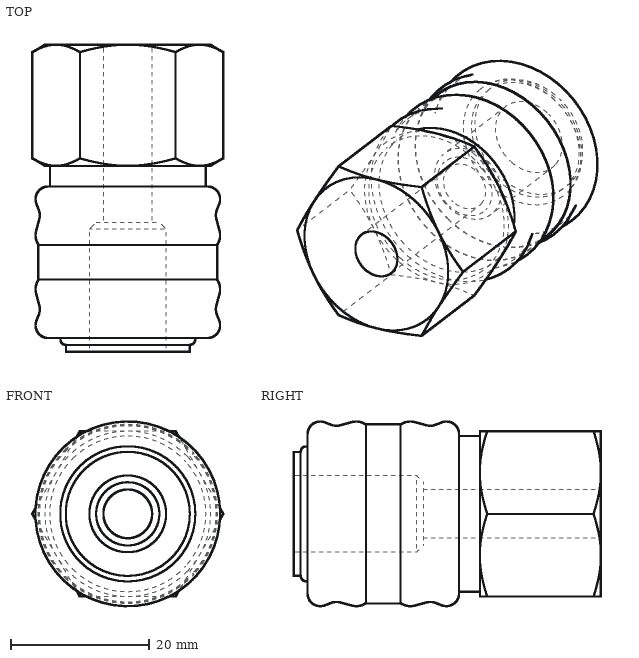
import cadquery as cq
import math

TOTAL_LENGTH = 44.5
COLLAR_START = 1.02
SLEEVE_START = 2.0
SLEEVE_END = 24.0
HEX_START = 26.95

NOSE_RADIUS = 9.0
COLLAR_RADIUS = 9.8
NECK_RADIUS = 11.3

SLEEVE_RADIUS = 13.4
WAIST_RADIUS = 13.0
VALLEY_RADIUS = 12.75
GRIP_LENGTH = 8.5
OUTER_BEAD_ROUND = 1.85
INNER_BEAD_ROUND = 2.4
VALLEY_ROUND = 2.0
VALLEY_OFFSET = 4.2
INNER_BEAD_OFFSET = 7.08

HEX_ACROSS_FLATS = 24.0
HEX_CHAMFER_ANGLE = 30.0

SOCKET_RADIUS = 5.55
SOCKET_DEPTH = 17.8
SEAT_RADIUS = 4.6
PASSAGE_RADIUS = 3.5


def cylinder(radius, start, end):
    """Cylinder along +Y between two axial positions."""
    return cq.Workplane("XZ", origin=(0, start, 0)).circle(radius).extrude(start - end)


def revolve_about_y(profile):
    return profile.close().revolve(360, (0, 0, 0), (0, 1, 0))


def circle_point(center, round_radius, angle):
    """Profile point on a circle, with the angle measured from +X toward +Y."""
    x, y = center
    return (x + round_radius * math.cos(angle), y + round_radius * math.sin(angle))


def flank_angle(bead_center, bead_round, valley_center):
    """Slope of the straight flank tangent to both a bead and the valley."""
    radial = valley_center[0] - bead_center[0]
    axial = abs(valley_center[1] - bead_center[1])
    distance = math.hypot(radial, axial)
    return math.atan2(axial, radial) - math.acos((bead_round + VALLEY_ROUND) / distance)


def make_grip():
    """Ring with a rounded front bead, a valley and a softer rear bead."""
    outer = (SLEEVE_RADIUS - OUTER_BEAD_ROUND, SLEEVE_START + OUTER_BEAD_ROUND)
    inner = (SLEEVE_RADIUS - INNER_BEAD_ROUND, SLEEVE_START + INNER_BEAD_OFFSET)
    valley = (VALLEY_RADIUS + VALLEY_ROUND, SLEEVE_START + VALLEY_OFFSET)
    front_flank = flank_angle(outer, OUTER_BEAD_ROUND, valley)
    rear_flank = flank_angle(inner, INNER_BEAD_ROUND, valley)
    grip_end = SLEEVE_START + GRIP_LENGTH
    end_angle = math.asin((grip_end - inner[1]) / INNER_BEAD_ROUND)
    profile = (
        cq.Workplane("XY")
        .moveTo(0, SLEEVE_START)
        .lineTo(*circle_point(outer, OUTER_BEAD_ROUND, -math.pi / 2))
        .threePointArc(
            circle_point(outer, OUTER_BEAD_ROUND, 0),
            circle_point(outer, OUTER_BEAD_ROUND, front_flank),
        )
        .lineTo(*circle_point(valley, VALLEY_ROUND, math.pi + front_flank))
        .threePointArc(
            (VALLEY_RADIUS, valley[1]),
            circle_point(valley, VALLEY_ROUND, math.pi - rear_flank),
        )
        .lineTo(*circle_point(inner, INNER_BEAD_ROUND, -rear_flank))
        .threePointArc(
            circle_point(inner, INNER_BEAD_ROUND, 0),
            circle_point(inner, INNER_BEAD_ROUND, end_angle),
        )
        .lineTo(0, grip_end)
    )
    return revolve_about_y(profile)


def make_sleeve():
    front_grip = make_grip()
    middle = (SLEEVE_START + SLEEVE_END) / 2
    rear_grip = front_grip.mirror("XZ", (0, middle, 0))
    waist = cylinder(WAIST_RADIUS, SLEEVE_START + GRIP_LENGTH, SLEEVE_END - GRIP_LENGTH)
    return waist.union(front_grip).union(rear_grip)


def make_collar():
    """Collar whose front edge is rounded down to the nose."""
    edge_round = COLLAR_RADIUS - NOSE_RADIUS
    collar = cylinder(COLLAR_RADIUS, COLLAR_START, SLEEVE_START)
    return collar.faces("<Y").edges().fillet(edge_round)


def make_hexagon():
    """Hexagon with both ends coned down to the across-flats circle."""
    corner_radius = HEX_ACROSS_FLATS / math.sqrt(3)
    flat_radius = HEX_ACROSS_FLATS / 2
    chamfer = (corner_radius - flat_radius) * math.tan(math.radians(HEX_CHAMFER_ANGLE))
    prism = (
        cq.Workplane("XZ", origin=(0, HEX_START, 0))
        .polygon(6, 2 * corner_radius)
        .extrude(HEX_START - TOTAL_LENGTH)
    )
    envelope = revolve_about_y(
        cq.Workplane("XY")
        .moveTo(0, HEX_START)
        .lineTo(flat_radius, HEX_START)
        .lineTo(corner_radius, HEX_START + chamfer)
        .lineTo(corner_radius, TOTAL_LENGTH - chamfer)
        .lineTo(flat_radius, TOTAL_LENGTH)
        .lineTo(0, TOTAL_LENGTH)
    )
    return prism.intersect(envelope)


def make_bore():
    """Socket with a 45 degree conical seat, then a passage to the far end."""
    seat_end = SOCKET_DEPTH + SOCKET_RADIUS - SEAT_RADIUS
    return revolve_about_y(
        cq.Workplane("XY")
        .lineTo(SOCKET_RADIUS, 0)
        .lineTo(SOCKET_RADIUS, SOCKET_DEPTH)
        .lineTo(SEAT_RADIUS, seat_end)
        .lineTo(PASSAGE_RADIUS, seat_end)
        .lineTo(PASSAGE_RADIUS, TOTAL_LENGTH)
        .lineTo(0, TOTAL_LENGTH)
    )


nose = cylinder(NOSE_RADIUS, 0, SLEEVE_START)
neck = cylinder(NECK_RADIUS, SLEEVE_END, HEX_START)
body = make_sleeve().union(nose).union(make_collar()).union(neck).union(make_hexagon())
result = body.cut(make_bore())